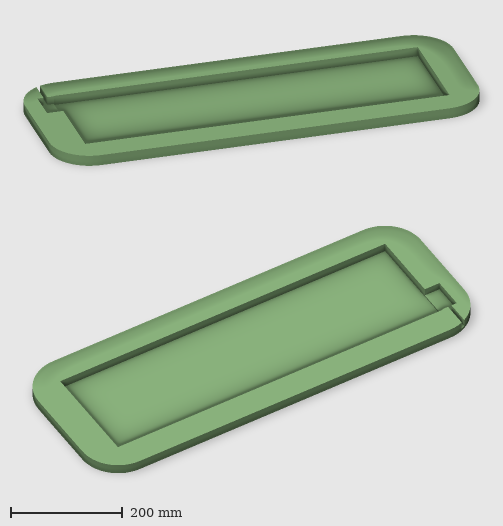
import cadquery as cq

board_width = 300.0
board_length = 800.0
board_thickness = 20.0
corner_radius = board_width / 4

pocket_width = 198.0
pocket_length = 680.0
pocket_floor = 2.0
pocket_depth = board_thickness - pocket_floor

compartment_width = 60.0
compartment_length = 30.0
compartment_inset = 2.0
compartment_floor = 5.0
compartment_depth = board_thickness - compartment_floor

slot_width = 7.0
slot_setback = 12.0

board_left = -board_width / 2
pocket_left = -pocket_width / 2
pocket_front = -pocket_length / 2
compartment_left = pocket_left + compartment_inset
compartment_right = compartment_left + compartment_width
compartment_front = pocket_front - compartment_length
slot_back = pocket_front - slot_setback
slot_front = slot_back - slot_width


def recess(left, right, front, back, depth):
    """Box that cuts a flat-floored recess down from the top face."""
    return (
        cq.Workplane("XY")
        .box(right - left, back - front, depth, centered=False)
        .translate((left, front, board_thickness - depth))
    )


board = (
    cq.Workplane("XY")
    .box(board_width, board_length, board_thickness, centered=(True, True, False))
    .edges("|Z")
    .fillet(corner_radius)
)

main_pocket = recess(pocket_left, -pocket_left, pocket_front, -pocket_front, pocket_depth)
compartment = recess(
    compartment_left, compartment_right, compartment_front, pocket_front, compartment_depth
)
cable_slot = recess(board_left, compartment_left, slot_front, slot_back, compartment_depth)

result = board.cut(main_pocket).cut(compartment).cut(cable_slot)